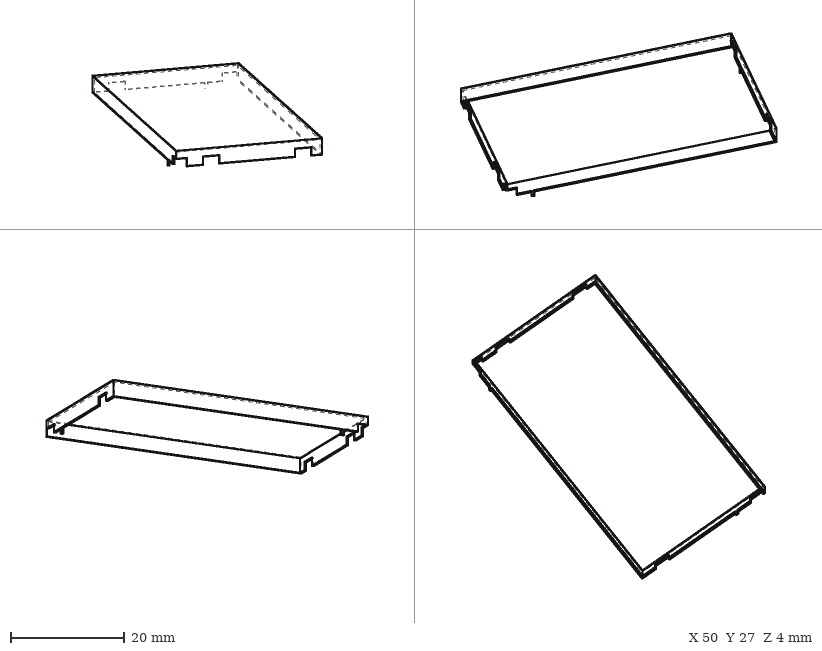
import cadquery as cq

length = 50.0
width = 27.0
body_height = 3.0
sheet = 0.3

notch_height = 1.5
notch_width = 3.0

left_notch_from_front = 3.0
right_notch_from_front = 5.0
right_notch_from_back = 2.0
corner_notch = 2.0

tab_height = 1.0
tab_width = 0.5
left_tab_from_back = 6.0
front_tab_from_right = 5.0

left, right = -length / 2, length / 2
front, back = -width / 2, width / 2


def block(x_start, x_end, y_start, y_end, z_start, z_end):
    """Box between the given limits."""
    size = (x_end - x_start, y_end - y_start, z_end - z_start)
    return cq.Workplane("XY").box(*size, centered=False).translate((x_start, y_start, z_start))


def cover():
    """Box with a roof and four walls, open at the bottom."""
    outside = block(left, right, front, back, 0, body_height)
    inside = block(left + sheet, right - sheet, front + sheet, back - sheet, 0, body_height - sheet)
    return outside.cut(inside)


def end_wall_notch(wall_start, y_start, y_end):
    """Cutter through an end wall whose lower X side is at wall_start."""
    return block(wall_start, wall_start + sheet, y_start, y_end, 0, notch_height)


def left_wall_notches():
    """One notch near the front, one running into the back wall, which stays whole."""
    front_start = front + left_notch_from_front
    near_front = end_wall_notch(left, front_start, front_start + notch_width)
    at_back = end_wall_notch(left, back - notch_width, back - sheet)
    return near_front.union(at_back)


def right_wall_notches():
    """One notch near each end of the wall."""
    front_start = front + right_notch_from_front
    back_end = back - right_notch_from_back
    near_front = end_wall_notch(right - sheet, front_start, front_start + notch_width)
    near_back = end_wall_notch(right - sheet, back_end - notch_width, back_end)
    return near_front.union(near_back)


def front_right_corner_notch():
    """Cutter that opens the corner where the front and right walls meet."""
    return block(right - corner_notch, right, front, front + corner_notch, 0, notch_height)


def solder_tabs():
    """Tabs that continue the left and front walls downwards."""
    left_tab_middle = back - left_tab_from_back
    front_tab_middle = right - front_tab_from_right
    half = tab_width / 2
    left_tab = block(left, left + sheet, left_tab_middle - half, left_tab_middle + half,
                     -tab_height, notch_height)
    front_tab = block(front_tab_middle - half, front_tab_middle + half, front, front + sheet,
                      -tab_height, notch_height)
    return left_tab.union(front_tab)


result = (
    cover()
    .cut(left_wall_notches())
    .cut(right_wall_notches())
    .cut(front_right_corner_notch())
    .union(solder_tabs())
    .clean()
)